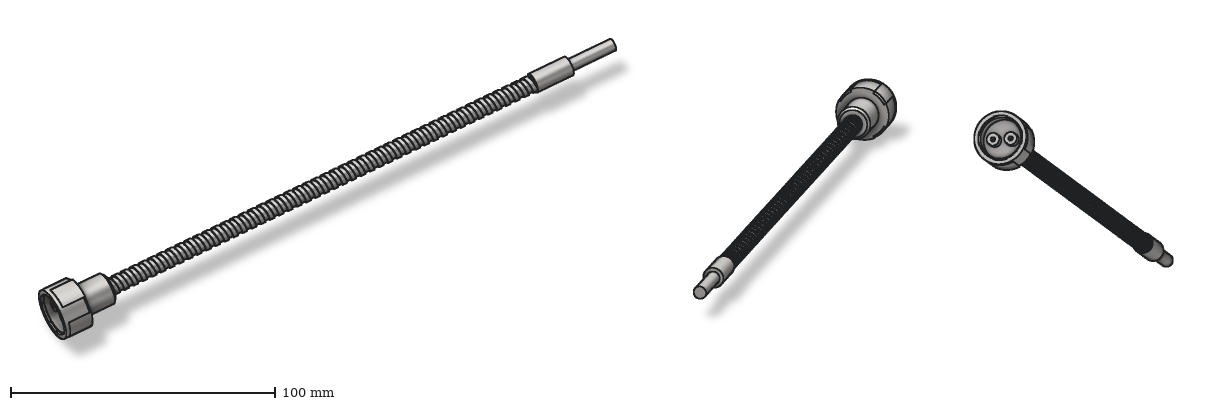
import cadquery as cq
import math

LENGTH = 246.5
FRONT_Y = -LENGTH / 2

CAP_RADIUS = 10.4
CAP_LENGTH = 11.5
CAP_BACK_CHAMFER = 0.7

PAD_COUNT = 4
PAD_HALF_ANGLE = 27.0
PAD_RISE = 0.12
PAD_START = 1.7

BORE_RADIUS = 8.0
BORE_DEPTH = 5.5
LIP_RADIUS = 8.5
LIP_DEPTH = 1.0
NOTCH_WIDTH = 5.2
NOTCH_REACH = 8.6

SOCKET_OFFSET = 3.5
SOCKET_RADIUS = 2.5
SOCKET_HEIGHT = 3.0
SOCKET_HOLE_RADIUS = 0.86

COLLAR_RADIUS = 6.5
COLLAR_END = 24.6
COLLAR_CHAMFER = 1.0

FERRULE_RADIUS = 4.0
FERRULE_LENGTH = 15.8
ROD_RADIUS = 2.5
ROD_LENGTH = 19.5
FERRULE_END = LENGTH - ROD_LENGTH
HOSE_END = FERRULE_END - FERRULE_LENGTH

HOSE_RADIUS = 3.5
GROOVE_DEPTH = 0.5
CORE_RADIUS = HOSE_RADIUS - GROOVE_DEPTH
RIB_TURNS = 46.7
RIB_START_ANGLE = 180.0
PITCH = (HOSE_END - COLLAR_END) / RIB_TURNS
RIB_WIDTH = PITCH / 2
RIB_ROOT = 0.2


def cylinder(radius, start, end, x=0.0):
    """Cylinder along Y; start and end are distances behind the front face."""
    base = cq.Workplane("XZ", origin=(x, FRONT_Y + start, 0))
    return base.circle(radius).extrude(start - end)


def make_pad(turn):
    """Sector from halfway into the cap wall out to the full radius, turned about Y."""
    half_angle = math.radians(PAD_HALF_ANGLE)
    root = (BORE_RADIUS + CAP_RADIUS) / 2

    def at(radius, angle):
        return (radius * math.sin(angle), radius * math.cos(angle))

    profile = (
        cq.Workplane("XZ", origin=(0, FRONT_Y + PAD_START, 0))
        .moveTo(*at(root, -half_angle))
        .threePointArc((0, root), at(root, half_angle))
        .lineTo(*at(CAP_RADIUS, half_angle))
        .threePointArc((0, CAP_RADIUS), at(CAP_RADIUS, -half_angle))
        .close()
    )
    pad = profile.extrude(PAD_START - CAP_LENGTH)
    return pad.rotate((0, 0, 0), (0, 1, 0), turn)


def make_notches():
    """Cross of two bars, rounded at its ends, cut into the mouth of the bore."""
    bar = cq.Workplane("XY", origin=(0, FRONT_Y, 0)).box(NOTCH_WIDTH, 2 * LIP_DEPTH, 2 * NOTCH_REACH)
    cross = bar.union(bar.rotate((0, 0, 0), (0, 1, 0), 90))
    return cross.intersect(cylinder(NOTCH_REACH, 0, LIP_DEPTH))


def make_socket(x):
    mouth = BORE_DEPTH - SOCKET_HEIGHT
    post = cylinder(SOCKET_RADIUS, mouth, BORE_DEPTH, x)
    return post.cut(cylinder(SOCKET_HOLE_RADIUS, mouth, BORE_DEPTH, x))


def make_cap():
    cap = cylinder(CAP_RADIUS - PAD_RISE, 0, CAP_LENGTH).faces(">Y").chamfer(CAP_BACK_CHAMFER)
    for index in range(PAD_COUNT):
        cap = cap.union(make_pad(index * 360 / PAD_COUNT))
    cap = cap.cut(cylinder(BORE_RADIUS, 0, BORE_DEPTH))
    cap = cap.cut(cylinder(LIP_RADIUS, 0, LIP_DEPTH))
    cap = cap.cut(make_notches())
    for side in (-1, 1):
        cap = cap.union(make_socket(side * SOCKET_OFFSET))
    return cap


def make_collar():
    return cylinder(COLLAR_RADIUS, CAP_LENGTH, COLLAR_END).faces(">Y").chamfer(COLLAR_CHAMFER)


def make_hose():
    """Round core with a right-handed rib, wound a pitch too long at each end, then trimmed."""
    core = cylinder(CORE_RADIUS, COLLAR_END, HOSE_END)
    helix = cq.Wire.makeHelix(PITCH, HOSE_END - COLLAR_END + 2 * PITCH, CORE_RADIUS)
    rib = (
        cq.Workplane("XZ")
        .center((CORE_RADIUS - RIB_ROOT + HOSE_RADIUS) / 2, 0)
        .rect(HOSE_RADIUS - CORE_RADIUS + RIB_ROOT, RIB_WIDTH)
        .sweep(cq.Workplane(obj=helix), isFrenet=True)
        .rotate((0, 0, 0), (1, 0, 0), -90)
        .rotate((0, 0, 0), (0, 1, 0), RIB_START_ANGLE)
        .translate((0, FRONT_Y + COLLAR_END - PITCH, 0))
    )
    return core.union(rib.intersect(cylinder(2 * HOSE_RADIUS, COLLAR_END, HOSE_END)))


def make_tip():
    ferrule = cylinder(FERRULE_RADIUS, HOSE_END, FERRULE_END)
    return ferrule.union(cylinder(ROD_RADIUS, FERRULE_END, LENGTH))


result = make_cap().union(make_collar()).union(make_hose()).union(make_tip())